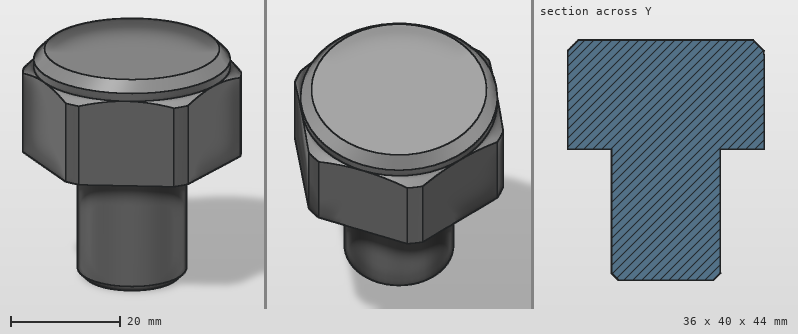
import cadquery as cq
import math

total_height = 44.0
across_flats = 36.0
corner_diameter = 40.0

head_height = 20.0
crown_height = 3.5
crown_chamfer = 2.0
corner_slope = 30.0

shank_diameter = 20.0
shank_chamfer = 1.3

shank_length = total_height - head_height
crown_base = total_height - crown_height
crown_radius = across_flats / 2
corner_radius = corner_diameter / 2
bevel_drop = (corner_radius - crown_radius) * math.tan(math.radians(corner_slope))


def make_head_envelope():
    """Revolved limit of the head: rounded corners, conical bevel and crown."""
    profile = [
        (0, shank_length),
        (corner_radius, shank_length),
        (corner_radius, crown_base - bevel_drop),
        (crown_radius, crown_base),
        (crown_radius, total_height - crown_chamfer),
        (crown_radius - crown_chamfer, total_height),
        (0, total_height),
    ]
    return cq.Workplane("XZ").polyline(profile).close().revolve(360, (0, 0), (0, 1))


def make_hexagon():
    """Hexagonal prism with two flats facing +X and -X."""
    circumscribed_diameter = across_flats / math.cos(math.radians(30))
    return (
        cq.Workplane("XY", origin=(0, 0, shank_length))
        .polygon(6, circumscribed_diameter)
        .extrude(head_height)
        .rotate((0, 0, 0), (0, 0, 1), 30)
    )


def make_shank():
    """Round shank with a chamfered lower end."""
    return (
        cq.Workplane("XY")
        .circle(shank_diameter / 2)
        .extrude(shank_length)
        .faces("<Z")
        .chamfer(shank_chamfer)
    )


head = make_head_envelope().intersect(make_hexagon())
result = head.union(make_shank())